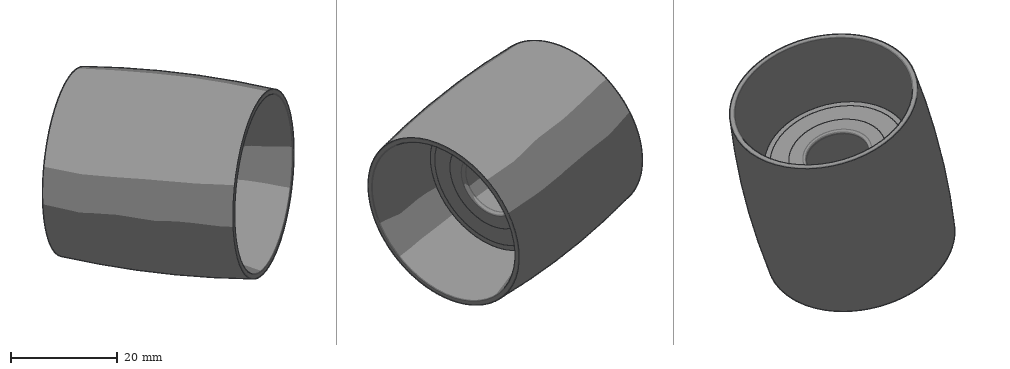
import cadquery as cq

LENGTH = 38.0
MID_RADIUS = 19.0
END_RADIUS = 18.05
MOUTH_RADIUS = 17.05
FLOOR_RADIUS = 14.0
RIM_FILLET = 0.1

WEB_WIDTH = 10.05
BEARING_RADIUS = 12.92
INNER_RING_RADIUS = 9.3
BORE_RADIUS = 6.0
BORE_FILLET = 0.6

HALF_LENGTH = LENGTH / 2
HALF_WEB = WEB_WIDTH / 2


def ring(outer_radius, inner_radius):
    """Plain ring across the web width, centred on the X axis."""
    return (
        cq.Workplane("YZ", origin=(-HALF_WEB, 0, 0))
        .circle(outer_radius)
        .circle(inner_radius)
        .extrude(WEB_WIDTH)
    )


def make_roller():
    """Barrel-shaped shell, hollowed by a cone from each end down to a central web, with rounded end rims."""
    profile = (
        cq.Workplane("XY")
        .moveTo(-HALF_LENGTH, MOUTH_RADIUS)
        .lineTo(-HALF_LENGTH, END_RADIUS)
        .threePointArc((0, MID_RADIUS), (HALF_LENGTH, END_RADIUS))
        .lineTo(HALF_LENGTH, MOUTH_RADIUS)
        .lineTo(HALF_WEB, FLOOR_RADIUS)
        .lineTo(HALF_WEB, BEARING_RADIUS)
        .lineTo(-HALF_WEB, BEARING_RADIUS)
        .lineTo(-HALF_WEB, FLOOR_RADIUS)
        .close()
    )
    shell = profile.revolve(360, (0, 0, 0), (1, 0, 0))
    return shell.faces("<X or >X").edges().fillet(RIM_FILLET)


def make_outer_ring():
    """Bearing ring seated in the bore of the roller web."""
    return ring(BEARING_RADIUS, INNER_RING_RADIUS)


def make_inner_ring():
    """Bearing ring with both rims of its bore rounded."""
    plain_ring = ring(INNER_RING_RADIUS, BORE_RADIUS)
    bore_rims = cq.selectors.RadiusNthSelector(0)
    return plain_ring.edges("%CIRCLE").edges(bore_rims).fillet(BORE_FILLET)


roller = make_roller()
outer_ring = make_outer_ring()
inner_ring = make_inner_ring()

result = cq.Compound.makeCompound([roller.val(), outer_ring.val(), inner_ring.val()])